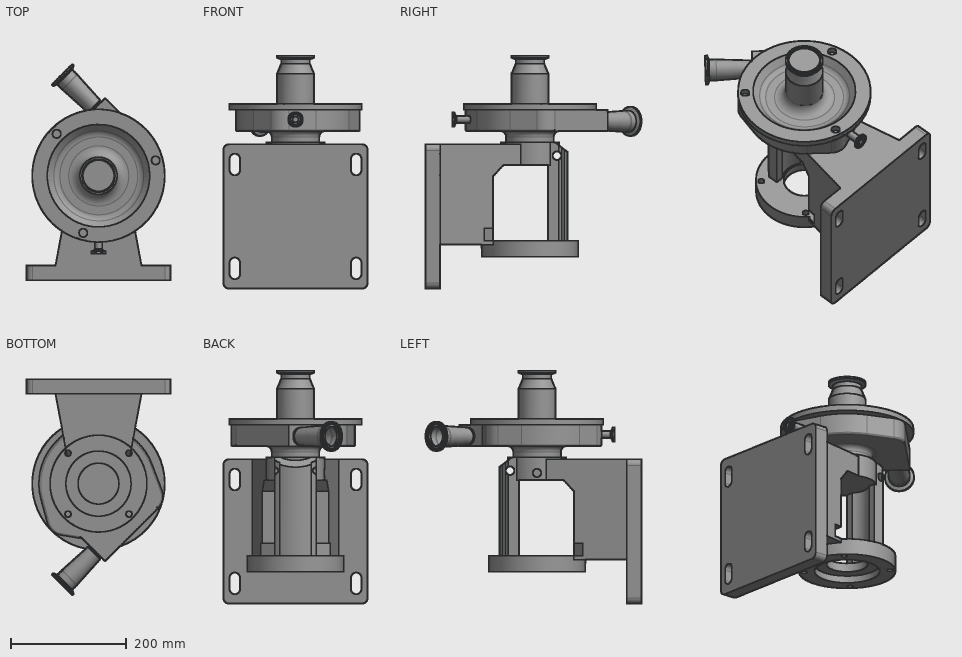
import cadquery as cq
import math

HEIGHT = 403.0
OUTLET_TURN = -45.0

PLATE_SIZE = 250.0
PLATE_THICK = 25.8
PLATE_BACK_Y = -181.0
PLATE_CORNER_R = 10.0
SLOT_SPACING_X = 210.0
SLOT_EDGE_Z = 35.0
SLOT_WIDTH = 17.7
SLOT_LENGTH = 37.0
PLATE_FRONT_Y = PLATE_BACK_Y + PLATE_THICK

ARM_TIP_Y = -15.7
ARM_TIP_HALF_WIDTH = 48.5
ARM_ROOT_HALF_WIDTH = 74.5
ARM_BOTTOM_Z = 76.0
LEG_FRONT_Y = -63.5
LEG_CHAMFER_Y = 17.7
LEG_CHAMFER_Z = 19.5
NOTCH_DEPTH = 15.7
NOTCH_WIDTH = 28.2
NOTCH_TOP_Z = 104.8

HEAD_R = 50.5
HEAD_TOP_Z = 253.0
HEAD_BOTTOM_Z = 213.5
HEAD_HOLE_Z = 226.0
HEAD_HOLE_DEPTH = 12.0
LANTERN_HOLE_R = 7.3
BASE_R = 84.0
BASE_BORE_R = 35.5
BASE_RECESS_R = 56.5
BASE_RECESS_DEPTH = 12.5
BASE_BOTTOM_Z = 55.0
BASE_TOP_Z = 83.0
BASE_BOLT_CIRCLE_R = 74.5
BASE_BOLT_R = 5.2
BASE_BOLT_COUNT = 4
BASE_BOLT_START_ANGLE = 45.0
COLUMN_HALF_WIDTH = 36.3
COLUMN_INNER_Y = 31.0
COLUMN_BACK_R = 61.5
COLUMN_RIB_HALF_WIDTH = 27.5
COLUMN_RIB_R = 65.3
COLUMN_RECESS_R = 38.3
COLUMN_CHAMFER_Y = 21.8
COLUMN_CHAMFER_Z = 17.0
COLUMN_HOLE_Y = 46.7
COLUMN_HOLE_Z = 230.0

HUB_R = 41.5
HUB_FLARE_R = 9.5

CASING_R = 103.0
CASING_NARROW_R = 98.5
LOBE_R = 29.0
CASING_BOTTOM_Z = 272.5
CASING_EDGE_R = 3.0
LOBE_CENTER_R = 85.5
OUTLET_FACE = -87.0

COVER_R = 115.0
COVER_BOTTOM_Z = 309.0
COVER_TOP_Z = 319.5
BOWL_RIM_R = 88.5
BOWL_CONE_R = 77.8
BOWL_CONE_Z = 308.5
BOWL_FLOOR_R = 67.5
BOWL_FLOOR_Z = 304.3
BOWL_FLARE_R = 52.0
COVER_BOLT_CIRCLE_R = 102.5
COVER_BOLT_R = 7.3
BOLT_ANGLES = (15.0, 135.0, 255.0)
LOBE_SPACING = 360 / len(BOLT_ANGLES)

INLET_R = 32.2
INLET_NECK_R = 25.0
INLET_CONE_BOTTOM_Z = 371.5
INLET_CONE_TOP_Z = 389.0
INLET_GROOVE_R = 27.0

OUTLET_OFFSET = 79.5
OUTLET_Z = 289.5
OUTLET_END = -168.5
OUTLET_NECK_START = -150.5
OUTLET_ROOT_R = 15.5
OUTLET_NECK_R = 18.5
OUTLET_FERRULE_R = 25.5
OUTLET_BORE_R = 17.0
OUTLET_BORE_ROOT_R = 11.3
OUTLET_WELD_R = 13.7
OUTLET_WELD_LENGTH = 3.2
OUTLET_GROOVE_R = 21.0

DRAIN_Z = 292.5
DRAIN_END_Y = -134.5
DRAIN_R = 6.5
DRAIN_FERRULE_R = 13.0
DRAIN_BORE_R = 5.2
DRAIN_BORE_DEPTH = 8.0
DRAIN_GROOVE_R = 9.3

FERRULE_RIM = 3.5
FERRULE_TAPER = 3.0
GROOVE_WIDTH = 1.5
GROOVE_DEPTH = 1.2


def disc(radius, bottom, top):
    return cq.Workplane("XY", origin=(0, 0, bottom)).circle(radius).extrude(top - bottom)


def turned(points):
    """Solid of revolution about Z from (radius, z) points."""
    return cq.Workplane("XZ").polyline(points).close().revolve(360, (0, 0, 0), (0, 1, 0))


def polar(radius, angle, center=(0, 0)):
    """Point at the given radius and angle in degrees around a center."""
    turn = math.radians(angle)
    return (center[0] + radius * math.cos(turn), center[1] + radius * math.sin(turn))


def ferrule(neck_r, rim_r, groove_r):
    """Clamp ferrule whose sealing face lies at Z = 0, pointing up."""
    body = turned([
        (0, 0),
        (rim_r, 0),
        (rim_r, -FERRULE_RIM),
        (neck_r, -FERRULE_RIM - FERRULE_TAPER),
        (0, -FERRULE_RIM - FERRULE_TAPER),
    ])
    groove = disc(groove_r + GROOVE_WIDTH, -GROOVE_DEPTH, 0).cut(disc(groove_r, -GROOVE_DEPTH, 0))
    return body.cut(groove)


def mounting_plate():
    plate = (
        cq.Workplane("XY")
        .box(PLATE_SIZE, PLATE_THICK, PLATE_SIZE, centered=(True, False, False))
        .translate((0, PLATE_BACK_Y, 0))
        .edges("|Y").fillet(PLATE_CORNER_R)
    )
    slot_spacing_z = PLATE_SIZE - 2 * SLOT_EDGE_Z
    slots = (
        cq.Workplane("XZ", origin=(0, PLATE_FRONT_Y, PLATE_SIZE / 2))
        .rarray(SLOT_SPACING_X, slot_spacing_z, 2, 2)
        .slot2D(SLOT_LENGTH, SLOT_WIDTH, 90)
        .extrude(PLATE_THICK)
    )
    return plate.cut(slots)


def bracket_arm():
    side = (
        cq.Workplane("YZ")
        .moveTo(PLATE_FRONT_Y, ARM_BOTTOM_Z)
        .lineTo(LEG_FRONT_Y, ARM_BOTTOM_Z)
        .lineTo(LEG_FRONT_Y, HEAD_BOTTOM_Z - LEG_CHAMFER_Z)
        .lineTo(LEG_FRONT_Y + LEG_CHAMFER_Y, HEAD_BOTTOM_Z)
        .lineTo(0, HEAD_BOTTOM_Z)
        .lineTo(0, PLATE_SIZE)
        .lineTo(PLATE_FRONT_Y, PLATE_SIZE)
        .close()
        .extrude(ARM_ROOT_HALF_WIDTH, both=True)
    )
    plan = (
        cq.Workplane("XY")
        .polyline([
            (-ARM_TIP_HALF_WIDTH, ARM_TIP_Y),
            (ARM_TIP_HALF_WIDTH, ARM_TIP_Y),
            (ARM_ROOT_HALF_WIDTH, PLATE_FRONT_Y),
            (-ARM_ROOT_HALF_WIDTH, PLATE_FRONT_Y),
        ])
        .close()
        .extrude(PLATE_SIZE)
    )
    arm = side.intersect(plan)

    side_slope = (ARM_ROOT_HALF_WIDTH - ARM_TIP_HALF_WIDTH) / (ARM_TIP_Y - PLATE_FRONT_Y)
    notch_back_y = LEG_FRONT_Y - NOTCH_DEPTH
    notch_x = ARM_TIP_HALF_WIDTH + side_slope * (ARM_TIP_Y - notch_back_y)
    for side_sign in (-1, 1):
        notch = (
            cq.Workplane("XY", origin=(0, 0, BASE_TOP_Z))
            .polyline([
                (side_sign * notch_x, notch_back_y),
                (side_sign * notch_x, LEG_FRONT_Y),
                (side_sign * (notch_x - NOTCH_WIDTH), LEG_FRONT_Y),
            ])
            .close()
            .extrude(NOTCH_TOP_Z - BASE_TOP_Z)
        )
        arm = arm.cut(notch)
    return arm


def upright(half_width, back_r):
    """Upright bar of the rear column, rounded at the back about the pump axis."""
    return (
        cq.Workplane("XY", origin=(0, COLUMN_INNER_Y, BASE_TOP_Z))
        .box(2 * half_width, back_r, HEAD_TOP_Z - BASE_TOP_Z, centered=(True, False, False))
        .intersect(disc(back_r, BASE_TOP_Z, HEAD_TOP_Z))
    )


def rear_column():
    """Column behind the pump axis with a raised rib along its back and a sloped top."""
    block = (
        upright(COLUMN_HALF_WIDTH, COLUMN_BACK_R)
        .union(upright(COLUMN_RIB_HALF_WIDTH, COLUMN_RIB_R))
        .cut(disc(COLUMN_RECESS_R, BASE_TOP_Z, HEAD_BOTTOM_Z))
    )
    top_chamfer = (
        cq.Workplane("YZ")
        .polyline([
            (COLUMN_RIB_R, HEAD_TOP_Z - COLUMN_CHAMFER_Z),
            (COLUMN_RIB_R, HEAD_TOP_Z),
            (COLUMN_RIB_R - COLUMN_CHAMFER_Y, HEAD_TOP_Z),
        ])
        .close()
        .extrude(COLUMN_HALF_WIDTH, both=True)
    )
    return block.cut(top_chamfer)


def base_bore():
    bore = disc(BASE_BORE_R, BASE_BOTTOM_Z, BASE_TOP_Z)
    return bore.union(disc(BASE_RECESS_R, BASE_BOTTOM_Z, BASE_BOTTOM_Z + BASE_RECESS_DEPTH))


def base_bolt_holes():
    return (
        cq.Workplane("XY", origin=(0, 0, BASE_BOTTOM_Z))
        .polarArray(BASE_BOLT_CIRCLE_R, BASE_BOLT_START_ANGLE, 360, BASE_BOLT_COUNT)
        .circle(BASE_BOLT_R)
        .extrude(BASE_TOP_Z - BASE_BOTTOM_Z)
    )


def lantern_cross_holes():
    column_hole = (
        cq.Workplane("YZ")
        .center(COLUMN_HOLE_Y, COLUMN_HOLE_Z)
        .circle(LANTERN_HOLE_R)
        .extrude(COLUMN_HALF_WIDTH, both=True)
    )
    head_hole = (
        cq.Workplane("YZ", origin=(-HEAD_R, 0, HEAD_HOLE_Z))
        .circle(LANTERN_HOLE_R)
        .extrude(HEAD_HOLE_DEPTH)
    )
    return column_hole.union(head_hole)


def hub():
    return (
        cq.Workplane("XZ")
        .moveTo(0, HEAD_TOP_Z)
        .lineTo(HUB_R, HEAD_TOP_Z)
        .lineTo(HUB_R, CASING_BOTTOM_Z - HUB_FLARE_R)
        .radiusArc((HUB_R + HUB_FLARE_R, CASING_BOTTOM_Z), HUB_FLARE_R)
        .lineTo(0, CASING_BOTTOM_Z)
        .close()
        .revolve(360, (0, 0, 0), (0, 1, 0))
    )


def lobe_flat_angle(wall_r):
    """Angle from a lobe's middle to the flat that is tangent to the lobe and to a wall."""
    return math.degrees(math.acos((wall_r - LOBE_R) / LOBE_CENTER_R))


def casing():
    """Round casing with a lobe under each cover bolt, plus the outlet block."""
    wall_radii = (CASING_NARROW_R, CASING_R, CASING_NARROW_R)
    outline = cq.Workplane("XY", origin=(0, 0, CASING_BOTTOM_Z)).moveTo(
        *polar(wall_radii[-1], BOLT_ANGLES[0] - lobe_flat_angle(wall_radii[-1]))
    )
    for i, angle in enumerate(BOLT_ANGLES):
        lobe_center = polar(LOBE_CENTER_R, angle)
        wall_r = wall_radii[i]
        flat_in = angle - lobe_flat_angle(wall_radii[i - 1])
        flat_out = angle + lobe_flat_angle(wall_r)
        wall_end = angle + LOBE_SPACING - lobe_flat_angle(wall_r)
        outline = (
            outline
            .lineTo(*polar(LOBE_R, flat_in, lobe_center))
            .threePointArc(polar(LOBE_R, angle, lobe_center), polar(LOBE_R, flat_out, lobe_center))
            .lineTo(*polar(wall_r, flat_out))
            .threePointArc(polar(wall_r, angle + LOBE_SPACING / 2), polar(wall_r, wall_end))
        )
    height = COVER_BOTTOM_Z - CASING_BOTTOM_Z
    body = outline.close().extrude(height).faces("<Z").edges().fillet(CASING_EDGE_R)

    lobe_x, lobe_y = polar(LOBE_CENTER_R, BOLT_ANGLES[0] - OUTLET_TURN)
    outlet_block = (
        cq.Workplane("XY")
        .box(lobe_x - OUTLET_FACE, lobe_y + LOBE_R, height, centered=False)
        .translate((OUTLET_FACE, 0, CASING_BOTTOM_Z))
        .rotate((0, 0, 0), (0, 0, 1), OUTLET_TURN)
    )
    return body.union(outlet_block)


def cover_dish():
    """Ring-shaped hollow of the cover flange around the inlet pipe."""
    return (
        cq.Workplane("XZ")
        .moveTo(INLET_R, COVER_TOP_Z)
        .lineTo(BOWL_RIM_R, COVER_TOP_Z)
        .lineTo(BOWL_CONE_R, BOWL_CONE_Z)
        .tangentArcPoint((BOWL_FLOOR_R, BOWL_FLOOR_Z), relative=False)
        .lineTo(BOWL_FLARE_R, BOWL_FLOOR_Z)
        .tangentArcPoint((INLET_R, COVER_TOP_Z), relative=False)
        .close()
        .revolve(360, (0, 0, 0), (0, 1, 0))
    )


def cover_bolt_holes():
    return (
        cq.Workplane("XY", origin=(0, 0, COVER_BOTTOM_Z))
        .polarArray(COVER_BOLT_CIRCLE_R, BOLT_ANGLES[0], 360, len(BOLT_ANGLES))
        .circle(COVER_BOLT_R)
        .extrude(COVER_TOP_Z - COVER_BOTTOM_Z)
    )


def inlet_pipe():
    pipe = turned([
        (0, BOWL_FLOOR_Z),
        (INLET_R, BOWL_FLOOR_Z),
        (INLET_R, INLET_CONE_BOTTOM_Z),
        (INLET_NECK_R, INLET_CONE_TOP_Z),
        (INLET_NECK_R, HEIGHT - FERRULE_RIM),
        (0, HEIGHT - FERRULE_RIM),
    ])
    cap = ferrule(INLET_NECK_R, INLET_R, INLET_GROOVE_R).translate((0, 0, HEIGHT))
    return pipe.union(cap)


def outlet_pipe():
    """Slightly flared pipe on a short weld neck, bored up to the outlet block's face."""
    length = OUTLET_FACE - OUTLET_END
    neck = OUTLET_NECK_START - OUTLET_END
    weld_z = OUTLET_WELD_LENGTH - length
    pipe = turned([
        (0, -length),
        (OUTLET_WELD_R, -length),
        (OUTLET_WELD_R, weld_z),
        (OUTLET_ROOT_R, weld_z),
        (OUTLET_NECK_R, -neck),
        (OUTLET_NECK_R, -FERRULE_RIM),
        (0, -FERRULE_RIM),
    ])
    pipe = pipe.union(ferrule(OUTLET_NECK_R, OUTLET_FERRULE_R, OUTLET_GROOVE_R))
    bore = turned([
        (0, -length),
        (OUTLET_BORE_ROOT_R, -length),
        (OUTLET_BORE_R, -neck),
        (OUTLET_BORE_R, 0),
        (0, 0),
    ])
    return (
        pipe.cut(bore)
        .rotate((0, 0, 0), (0, 1, 0), -90)
        .translate((OUTLET_END, OUTLET_OFFSET, OUTLET_Z))
        .rotate((0, 0, 0), (0, 0, 1), OUTLET_TURN)
    )


def drain_pipe():
    length = -DRAIN_END_Y - CASING_NARROW_R
    pipe = (
        disc(DRAIN_R, -length, -FERRULE_RIM)
        .union(ferrule(DRAIN_R, DRAIN_FERRULE_R, DRAIN_GROOVE_R))
        .cut(disc(DRAIN_BORE_R, -DRAIN_BORE_DEPTH, 0))
    )
    return pipe.rotate((0, 0, 0), (1, 0, 0), 90).translate((0, DRAIN_END_Y, DRAIN_Z))


head = disc(HEAD_R, HEAD_BOTTOM_Z, HEAD_TOP_Z)
base = disc(BASE_R, BASE_BOTTOM_Z, BASE_TOP_Z)
lantern = bracket_arm().union(head).union(rear_column()).union(base)
lantern = lantern.cut(lantern_cross_holes()).cut(base_bore()).cut(base_bolt_holes())

pump = casing().union(disc(COVER_R, COVER_BOTTOM_Z, COVER_TOP_Z))
pump = pump.cut(cover_dish()).cut(cover_bolt_holes())
pump = pump.union(hub()).union(inlet_pipe()).union(outlet_pipe()).union(drain_pipe())

result = mounting_plate().union(lantern).union(pump)